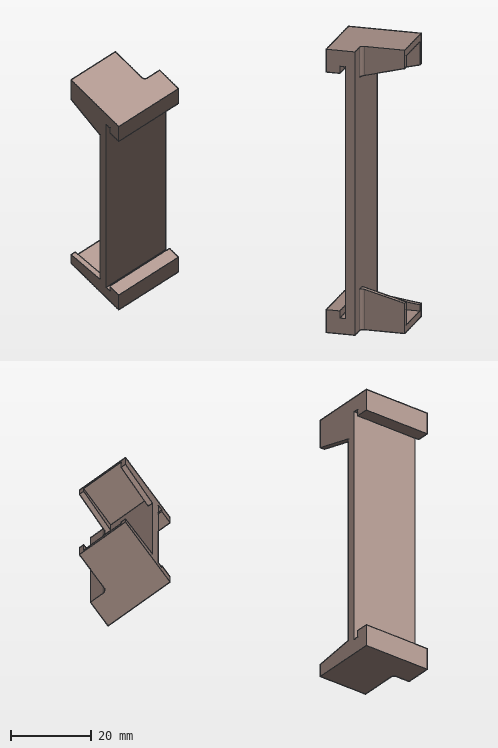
import cadquery as cq

length_x = 19.0
width_y = 19.2
height_z = 74.6

plate_front = 11.5
plate_back = 14.0

hook_front = 15.45
hook_height = 6.05
hook_floor = 4.2

tray_width = 14.25
floor_thickness = 1.9
wall_thickness = 1.35
corner_radius = 1.0

tall_wall = (8.0, 10.9)
medium_wall = (4.85, 7.9)
low_wall = (3.5, 5.0)


def plate_and_hooks():
    """Plate with a hook behind each end, running the full width."""
    plate = cq.Workplane("XY").box(length_x - plate_front, width_y, height_z, centered=False)
    plate = plate.translate((plate_front, 0, 0))
    groove = cq.Workplane("XY").box(
        hook_front - plate_back, width_y, height_z - 2 * hook_floor, centered=False
    )
    gap = cq.Workplane("XY").box(
        length_x - plate_back, width_y, height_z - 2 * hook_height, centered=False
    )
    plate = plate.cut(groove.translate((plate_back, 0, hook_floor)))
    return plate.cut(gap.translate((plate_back, 0, hook_height)))


def side_wall(heights, y_start, thickness):
    """Wall with a sloping edge that rises towards the plate."""
    end_height, plate_height = heights
    profile = [(0, 0), (plate_front, 0), (plate_front, plate_height), (0, end_height)]
    wall = cq.Workplane("XZ").polyline(profile).close().extrude(-thickness)
    return wall.translate((0, y_start, 0))


def corner_fillet(heights):
    """Concave fillet between the inner wall and the plate, under the wall's slope."""
    fillet = (
        cq.Workplane("XY")
        .moveTo(plate_front, tray_width)
        .lineTo(plate_front, tray_width + corner_radius)
        .radiusArc((plate_front - corner_radius, tray_width), corner_radius)
        .close()
        .extrude(heights[1])
    )
    return fillet.intersect(side_wall(heights, tray_width, corner_radius))


def tray(outer_wall, inner_wall):
    """Tray on the bottom end: a floor, two side walls and the corner fillet."""
    floor = cq.Workplane("XY").box(plate_front, tray_width, floor_thickness, centered=False)
    return (
        floor.union(side_wall(outer_wall, 0, wall_thickness))
        .union(side_wall(inner_wall, tray_width - wall_thickness, wall_thickness))
        .union(corner_fillet(inner_wall))
    )


bottom_tray = tray(low_wall, tall_wall)
top_tray = tray(tall_wall, medium_wall).mirror("XY").translate((0, 0, height_z))

result = plate_and_hooks().union(bottom_tray).union(top_tray)